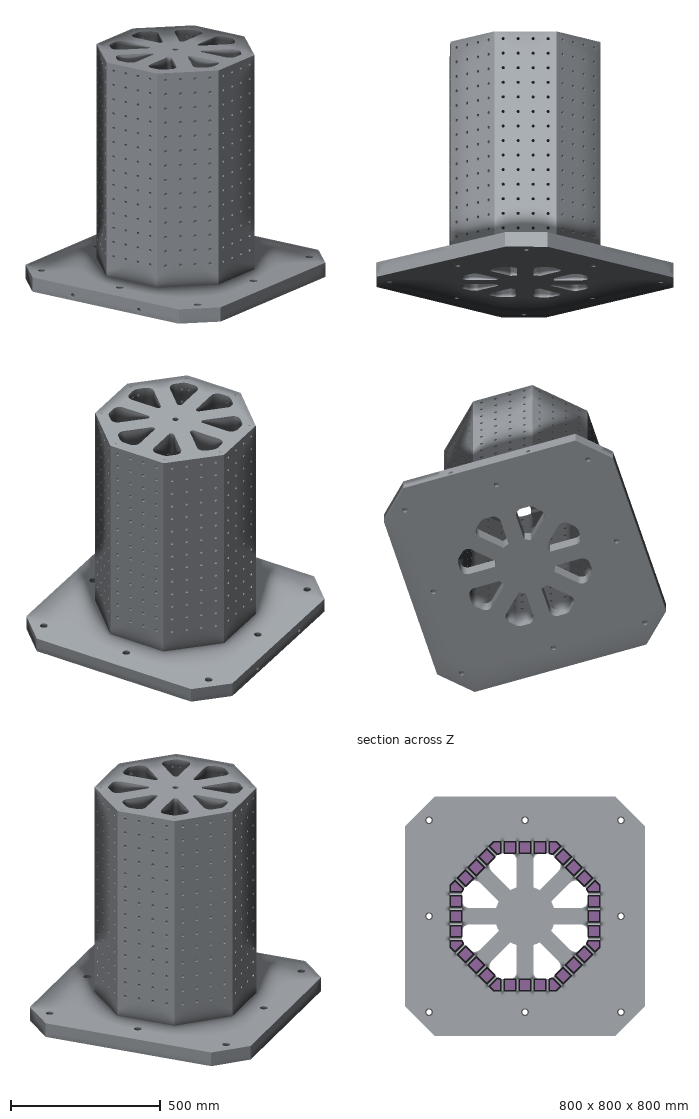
import cadquery as cq
import math

overall_size = 800
grid = overall_size / 16

base_thickness = grid
base_corner_cut = 2 * grid
base_hub_diameter = 200
bolt_spacing = 320
bolt_diameter = 18.0
bolt_head_diameter = 26.0
bolt_head_depth = base_thickness / 2
edge_hole_diameter = 14.0
edge_hole_depth = 40
edge_hole_spacing = 270.0
edge_hole_height = 18.0

tower_width = 10 * grid
side_count = 8
side_angle = 360 / side_count
wall = 40
head_thickness = 2 * grid
head_recess_diameter = 320
head_recess_depth = grid / 2
head_bottom = overall_size - head_thickness
rib_width = 55.0
pocket_rib_radius = 25.0
pocket_wall_radius = 30.0
pocket_tip_radius = 10.0

clamp_hole_diameter = 10.0
clamp_hole_depth = 45.0
clamp_columns = 4
clamp_rows = 14
clamp_top_margin = grid / 2
center_hole_diameter = 21.0
center_hole_depth = grid
pin_hole_diameter = 5.0
pin_hole_depth = 20.0
pin_hole_inset = 20.0
drill_point_angle = 118

half_side_angle = math.radians(side_angle / 2)
cavity_width = tower_width - 2 * wall


def octagon(width, height, bottom):
    """Octagonal prism with two sides square to each axis; width is across flats."""
    corner_diameter = width / math.cos(half_side_angle)
    return (
        cq.Workplane("XY")
        .workplane(offset=bottom)
        .transformed(rotate=(0, 0, side_angle / 2))
        .polygon(side_count, corner_diameter)
        .extrude(height)
    )


def drilled_hole(diameter, depth, start, direction):
    """Blind hole with a conical drill point; depth is that of the full diameter."""
    radius = diameter / 2
    point_length = radius / math.tan(math.radians(drill_point_angle / 2))
    start = cq.Vector(*start)
    direction = cq.Vector(*direction)
    shank = cq.Solid.makeCylinder(radius, depth, start, direction)
    point = cq.Solid.makeCone(radius, 0, point_length, start + direction * depth, direction)
    return shank.fuse(point)


def turn(shape, step):
    """Turn a shape about the tower axis by a whole number of sides."""
    return shape.rotate(cq.Vector(0, 0, 0), cq.Vector(0, 0, 1), step * side_angle)


def pocket(bottom, height):
    """Rounded wedge between the rib along +X and its neighbour, open along Z."""
    half_rib = rib_width / 2
    half_cavity = cavity_width / 2
    tip = (half_rib / math.tan(half_side_angle), half_rib)
    rib_end = (half_cavity, half_rib)
    wall_corner = (half_cavity, half_cavity * math.tan(half_side_angle))
    rib_spacing = math.radians(side_angle)
    far_rib_end = (
        rib_end[0] * math.cos(rib_spacing) + rib_end[1] * math.sin(rib_spacing),
        rib_end[0] * math.sin(rib_spacing) - rib_end[1] * math.cos(rib_spacing),
    )
    wedge = (
        cq.Workplane("XY")
        .workplane(offset=bottom)
        .polyline([tip, rib_end, wall_corner, far_rib_end])
        .close()
        .extrude(height)
    )
    tip_edge = cq.selectors.NearestToPointSelector((*tip, bottom + height / 2))
    wedge = wedge.edges(tip_edge).fillet(pocket_tip_radius)
    rounded_corners = (
        (rib_end, pocket_rib_radius),
        (wall_corner, pocket_wall_radius),
        (far_rib_end, pocket_rib_radius),
    )
    for corner, radius in rounded_corners:
        corner_edge = cq.selectors.NearestToPointSelector((*corner, bottom + height / 2))
        wedge = wedge.edges(corner_edge).fillet(radius)
    return wedge.val()


def make_base():
    """Square plate with cut corners."""
    return (
        cq.Workplane("XY")
        .rect(overall_size, overall_size)
        .extrude(base_thickness)
        .edges("|Z")
        .chamfer(base_corner_cut)
    )


def cut_base_openings(body):
    """Wedge openings below the head pockets, leaving a round hub in the middle."""
    hub = cq.Solid.makeCylinder(base_hub_diameter / 2, base_thickness)
    opening = pocket(0, base_thickness)
    for step in range(side_count):
        body = body.cut(cq.Workplane(turn(opening, step).cut(hub)))
    return body


def cut_bolt_holes(body):
    """Counterbored holes at the corners and mid-sides of the base."""
    places = [
        (i * bolt_spacing, j * bolt_spacing)
        for i in (-1, 0, 1)
        for j in (-1, 0, 1)
        if (i, j) != (0, 0)
    ]
    return (
        body.faces(">Z")
        .workplane(origin=(0, 0, base_thickness))
        .pushPoints(places)
        .cboreHole(bolt_diameter, bolt_head_diameter, bolt_head_depth)
    )


def cut_edge_holes(body):
    """Two blind holes in the -Y edge of the base."""
    for x in (-edge_hole_spacing / 2, edge_hole_spacing / 2):
        start = (x, -overall_size / 2, edge_hole_height)
        hole = drilled_hole(edge_hole_diameter, edge_hole_depth, start, (0, 1, 0))
        body = body.cut(cq.Workplane(hole))
    return body


def cut_head(body):
    """Cavity with a round recess in its roof, head pockets, and holes in the top face."""
    cavity = octagon(cavity_width, head_bottom - base_thickness, base_thickness)
    cavity = cavity.edges("|Z").fillet(pocket_wall_radius)
    recess = cq.Workplane("XY").workplane(offset=head_bottom).circle(head_recess_diameter / 2)
    body = body.cut(cavity).cut(recess.extrude(head_recess_depth))
    head_pocket = pocket(head_bottom, head_thickness)
    pin_radius = (tower_width / 2 - pin_hole_inset) / math.cos(half_side_angle)
    pin_hole = cq.Solid.makeCylinder(
        pin_hole_diameter / 2,
        pin_hole_depth,
        cq.Vector(pin_radius, 0, overall_size - pin_hole_depth),
    ).rotate(cq.Vector(0, 0, 0), cq.Vector(0, 0, 1), side_angle / 2)
    for step in range(side_count):
        body = body.cut(cq.Workplane(turn(head_pocket, step)))
        body = body.cut(cq.Workplane(turn(pin_hole, step)))
    center_hole = drilled_hole(center_hole_diameter, center_hole_depth, (0, 0, overall_size), (0, 0, -1))
    return body.cut(cq.Workplane(center_hole))


def cut_clamp_holes(body):
    """Grid of drilled holes in every side of the tower."""
    holes = []
    for column in range(clamp_columns):
        x = (column - (clamp_columns - 1) / 2) * grid
        for row in range(clamp_rows):
            z = overall_size - clamp_top_margin - row * grid
            start = (x, -tower_width / 2, z)
            holes.append(drilled_hole(clamp_hole_diameter, clamp_hole_depth, start, (0, 1, 0)))
    side_holes = cq.Compound.makeCompound(holes)
    for step in range(side_count):
        body = body.cut(cq.Workplane(turn(side_holes, step)), clean=False)
    return body


base = cut_edge_holes(cut_bolt_holes(cut_base_openings(make_base())))
tower = cut_head(octagon(tower_width, overall_size - base_thickness, base_thickness))
result = cut_clamp_holes(base.union(tower))